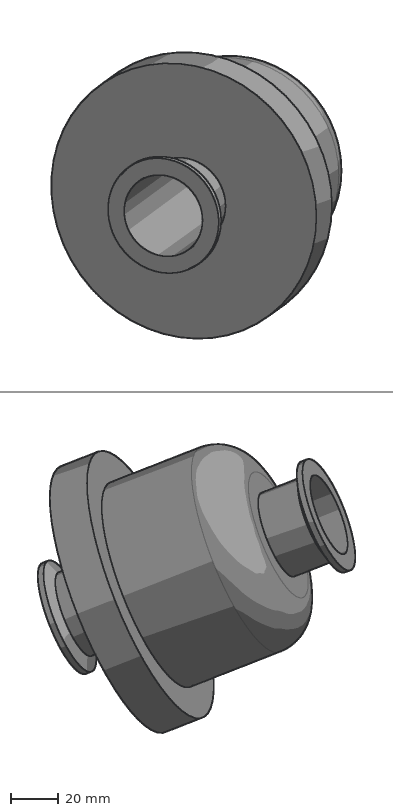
import cadquery as cq

total_length = 125.0

bore_diameter = 35.8
neck_diameter = 38.1
rim_diameter = 50.5
rim_thickness = 2.8
taper_length = 2.5

flange_diameter = 121.0
flange_start = 23.1
flange_thickness = 17.6
housing_diameter = 93.0
housing_length = 60.2
dome_radius = 18.0

flange_end = flange_start + flange_thickness
housing_end = flange_end + housing_length


def cylinder_along_y(diameter, start, length):
    """Solid cylinder running from start toward +Y."""
    return cq.Workplane("XZ", origin=(0, start, 0)).circle(diameter / 2).extrude(-length)


def ferrule():
    """Solid clamp rim with its face at Y = 0, tapering back to the neck."""
    profile = [
        (0, 0),
        (rim_diameter / 2, 0),
        (rim_diameter / 2, rim_thickness),
        (neck_diameter / 2, rim_thickness + taper_length),
        (0, rim_thickness + taper_length),
    ]
    return cq.Workplane("XY").polyline(profile).close().revolve(360, (0, 0, 0), (0, 1, 0))


housing = cylinder_along_y(housing_diameter, flange_end, housing_length)
housing = housing.faces(">Y").edges().fillet(dome_radius)

flange = cylinder_along_y(flange_diameter, flange_start, flange_thickness)
neck = cylinder_along_y(neck_diameter, 0, total_length)
front_ferrule = ferrule()
rear_ferrule = ferrule().mirror("XZ").translate((0, total_length, 0))

bore = cylinder_along_y(bore_diameter, 0, total_length)

result = neck.union(flange).union(housing).union(front_ferrule).union(rear_ferrule).cut(bore)